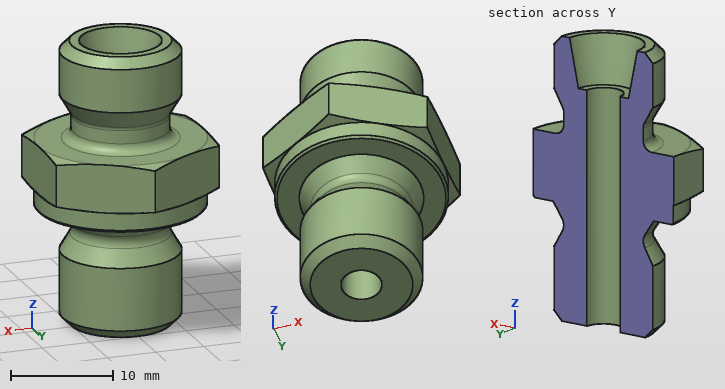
import cadquery as cq
import math

total_length = 29.0
hex_width = 17.02
hex_top = 19.0
hex_height = 5.0
hex_bottom = hex_top - hex_height
hex_bevel_angle = 15.0

collar_radius = 17.0 / 2
collar_height = 2.0
collar_bottom = hex_bottom - collar_height
collar_chamfer = 0.23

thread_radius = 12.0 / 2
end_chamfer = 1.0
top_thread_bottom = 23.55
bottom_thread_top = 7.45
relief_angle = math.radians(30)

neck_radius = 9.7 / 2
neck_fillet = 1.0
neck_blend_radius = 0.75
waist_blend_radius = 1.2
undercut_radius = 6.1
undercut_angle = math.radians(34)

bore_radius = 4.0 / 2
seat_mouth_radius = 4.05
seat_floor_radius = 6.0 / 2
seat_half_angle = math.radians(12)


def blend_point(blend_radius, angle):
    """Radius and axial offset on a neck blend, at an angle from its narrowest point."""
    radius = neck_radius + blend_radius * (1 - math.cos(angle))
    return radius, blend_radius * math.sin(angle)


def make_round_body():
    """Revolve the threaded ends, necks and collar about Z."""
    waist_low_r, waist_low_offset = blend_point(waist_blend_radius, relief_angle)
    waist_high_r, waist_high_offset = blend_point(waist_blend_radius, undercut_angle)
    neck_blend_r, neck_blend_offset = blend_point(neck_blend_radius, relief_angle)
    neck_mid_r, neck_mid_offset = blend_point(neck_blend_radius, relief_angle / 2)

    waist_low_z = bottom_thread_top + (thread_radius - waist_low_r) / math.tan(relief_angle)
    waist_z = waist_low_z + waist_low_offset
    neck_blend_z = top_thread_bottom - (thread_radius - neck_blend_r) / math.tan(relief_angle)
    neck_top = neck_blend_z - neck_blend_offset

    fillet_mid_r = neck_radius + neck_fillet * (1 - math.sqrt(0.5))
    fillet_mid_z = hex_top + neck_fillet * (1 - math.sqrt(0.5))

    profile = (
        cq.Workplane("XZ")
        .lineTo(thread_radius - end_chamfer, 0)
        .lineTo(thread_radius, end_chamfer)
        .lineTo(thread_radius, bottom_thread_top)
        .lineTo(waist_low_r, waist_low_z)
        .threePointArc((neck_radius, waist_z), (waist_high_r, waist_z + waist_high_offset))
        .lineTo(undercut_radius, collar_bottom)
        .lineTo(collar_radius - collar_chamfer, collar_bottom)
        .lineTo(collar_radius, collar_bottom + collar_chamfer)
        .lineTo(collar_radius, hex_top)
        .lineTo(neck_radius + neck_fillet, hex_top)
        .threePointArc((fillet_mid_r, fillet_mid_z), (neck_radius, hex_top + neck_fillet))
        .lineTo(neck_radius, neck_top)
        .threePointArc((neck_mid_r, neck_top + neck_mid_offset), (neck_blend_r, neck_blend_z))
        .lineTo(thread_radius, top_thread_bottom)
        .lineTo(thread_radius, total_length - end_chamfer)
        .lineTo(thread_radius - end_chamfer, total_length)
        .lineTo(0, total_length)
        .close()
    )
    return profile.revolve(360, (0, 0, 0), (0, 1, 0))


def make_hexagon():
    """Hexagon with corners on the Y axis, bevelled conically at both faces."""
    corner_radius = hex_width / math.sqrt(3)
    bevel_drop = (corner_radius - collar_radius) * math.tan(math.radians(hex_bevel_angle))
    prism = (
        cq.Workplane("XY", origin=(0, 0, hex_bottom))
        .polygon(6, 2 * corner_radius)
        .extrude(hex_height)
        .rotate((0, 0, 0), (0, 0, 1), 90)
    )
    bevel_envelope = (
        cq.Workplane("XZ")
        .moveTo(0, hex_bottom)
        .lineTo(collar_radius, hex_bottom)
        .lineTo(corner_radius, hex_bottom + bevel_drop)
        .lineTo(corner_radius, hex_top - bevel_drop)
        .lineTo(collar_radius, hex_top)
        .lineTo(0, hex_top)
        .close()
        .revolve(360, (0, 0, 0), (0, 1, 0))
    )
    return prism.intersect(bevel_envelope)


def make_bore():
    """Through bore and the wider conical seat, ending on a flat step."""
    seat_depth = (seat_mouth_radius - seat_floor_radius) / math.tan(seat_half_angle)
    seat_floor = total_length - seat_depth
    return (
        cq.Workplane("XZ")
        .lineTo(bore_radius, 0)
        .lineTo(bore_radius, seat_floor)
        .lineTo(seat_floor_radius, seat_floor)
        .lineTo(seat_mouth_radius, total_length)
        .lineTo(0, total_length)
        .close()
        .revolve(360, (0, 0, 0), (0, 1, 0))
    )


result = make_round_body().union(make_hexagon()).cut(make_bore())